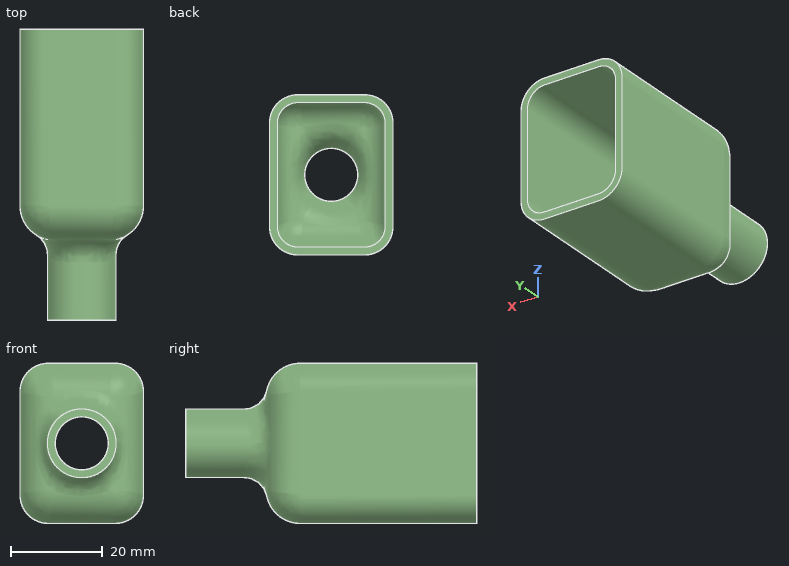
import cadquery as cq

HOUSING_WIDTH = 27.0
HOUSING_LENGTH = 46.0
HOUSING_HEIGHT = 35.0
LONG_EDGE_RADIUS = 6.25
FRONT_EDGE_RADIUS = 7.5

OVERALL_LENGTH = 63.5
SPOUT_LENGTH = OVERALL_LENGTH - HOUSING_LENGTH
SPOUT_DIAMETER = 15.0
SPOUT_BLEND_RADIUS = 5.0

BORE_DIAMETER = 11.5
WALL = (SPOUT_DIAMETER - BORE_DIAMETER) / 2


def make_housing(inset):
    """Housing block moved inward by `inset`, rounded on all edges except at the rear.

    The outer front face lies at Y = 0 and the rear face stays at Y = HOUSING_LENGTH.
    """
    block = cq.Workplane("XY", origin=(0, inset, 0)).box(
        HOUSING_WIDTH - 2 * inset,
        HOUSING_LENGTH - inset,
        HOUSING_HEIGHT - 2 * inset,
        centered=(True, False, True),
    )
    rounded_sides = block.edges("|Y").fillet(LONG_EDGE_RADIUS - inset)
    return rounded_sides.faces("<Y").edges().fillet(FRONT_EDGE_RADIUS - inset)


def make_spout(inset):
    """Solid spout, its radius reduced by `inset`, running from the mouth into the housing.

    It is wider than the flat of the front face, so it reaches back as far as the rounding.
    """
    mouth = cq.Workplane("XZ", origin=(0, -SPOUT_LENGTH, 0))
    return mouth.circle(SPOUT_DIAMETER / 2 - inset).extrude(-(SPOUT_LENGTH + FRONT_EDGE_RADIUS))


def make_body(inset):
    """Solid housing and spout, moved inward by `inset`, with a blend where they meet."""
    joined = make_housing(inset).union(make_spout(inset))

    reach = SPOUT_DIAMETER / 2
    joint_region = cq.selectors.BoxSelector(
        (-reach, 0, -reach),
        (reach, FRONT_EDGE_RADIUS / 2, reach),
    )
    return joined.edges(joint_region).fillet(SPOUT_BLEND_RADIUS + inset)


outer_body = make_body(inset=0)
cavity = make_body(inset=WALL)
result = outer_body.cut(cavity)